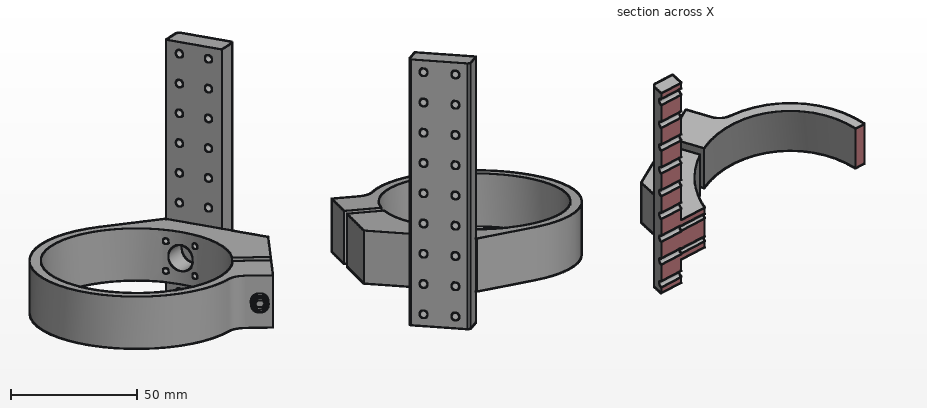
import cadquery as cq
import math

bore_radius = 38.0
ring_radius = 42.5
ring_height = 22.0

plate_width = 25.0
plate_thickness = 10.0
plate_height = 110.0
plate_chamfer = 1.0
plate_front_y = 49.0

pad_left_x = -12.9

hole_rows = 9
hole_end_margin = 5.0
hole_column_spacing = 13.0
hole_row_pitch = (plate_height - 2 * hole_end_margin) / (hole_rows - 1)
plate_hole_diameter = 3.2

pad_hole_diameter = 2.4
pad_bore_diameter = 10.9
ring_center_z = hole_end_margin + 1.5 * hole_row_pitch
ring_bottom_z = ring_center_z - ring_height / 2

clamp_angle = math.radians(30)
clamp_face_out = 53.2
slit_width = 4.0
ear_end_along = -19.6
ear_fillet = 8.0

screw_out = clamp_face_out - 5.4
shank_diameter = 4.0
head_diameter = 7.0
head_height = 4.0
head_top_diameter = 6.0
head_taper_height = 1.0
socket_across_flats = 4.0
socket_depth = 3.0
thread_depth = 11.0


def clamp_point(out, along):
    """Convert clamp coordinates to X, Y."""
    x = out * math.cos(clamp_angle) - along * math.sin(clamp_angle)
    y = out * math.sin(clamp_angle) + along * math.cos(clamp_angle)
    return x, y


def ring_point(angle):
    """Point on the outside of the ring."""
    return ring_radius * math.cos(angle), ring_radius * math.sin(angle)


def make_ring():
    pad_left = (pad_left_x, plate_front_y)
    corner_angle = math.atan2(pad_left[1], pad_left[0])
    flank_angle = corner_angle + math.acos(ring_radius / math.hypot(*pad_left))

    pad_right_x = (clamp_face_out - plate_front_y * math.sin(clamp_angle)) / math.cos(clamp_angle)

    fillet_along = ear_end_along - ear_fillet
    fillet_out = math.sqrt((ring_radius + ear_fillet) ** 2 - fillet_along ** 2)
    fillet_angle = clamp_angle + math.atan2(fillet_along, fillet_out)
    fillet_mid_angle = (clamp_angle + math.pi / 2 + fillet_angle + math.pi) / 2
    center_x, center_y = clamp_point(fillet_out, fillet_along)
    fillet_mid = (
        center_x + ear_fillet * math.cos(fillet_mid_angle),
        center_y + ear_fillet * math.sin(fillet_mid_angle),
    )
    ring_mid_angle = (flank_angle + fillet_angle + 2 * math.pi) / 2

    body = (
        cq.Workplane("XY", origin=(0, 0, ring_bottom_z))
        .moveTo(*pad_left)
        .lineTo(pad_right_x, plate_front_y)
        .lineTo(*clamp_point(clamp_face_out, ear_end_along))
        .lineTo(*clamp_point(fillet_out, ear_end_along))
        .threePointArc(fillet_mid, ring_point(fillet_angle))
        .threePointArc(ring_point(ring_mid_angle), ring_point(flank_angle))
        .close()
        .extrude(ring_height)
    )
    bore = cq.Workplane("XY", origin=(0, 0, ring_bottom_z)).circle(bore_radius).extrude(ring_height)
    slit = (
        cq.Workplane("XY", origin=(0, 0, ring_bottom_z))
        .rect(2 * clamp_face_out, slit_width)
        .extrude(ring_height)
        .translate((clamp_face_out, 0, 0))
        .rotate((0, 0, 0), (0, 0, 1), math.degrees(clamp_angle))
    )
    return body.cut(bore).cut(slit)


def drill_pad(ring):
    pad = cq.Workplane("XZ", origin=(0, plate_front_y, ring_center_z))
    small_holes = (
        pad.rarray(hole_column_spacing, hole_row_pitch, 2, 2)
        .circle(pad_hole_diameter / 2)
        .extrude(plate_front_y)
    )
    center_bore = pad.circle(pad_bore_diameter / 2).extrude(plate_front_y)
    return ring.cut(small_holes).cut(center_bore)


def make_plate():
    plate = (
        cq.Workplane("XY")
        .box(plate_width, plate_thickness, plate_height, centered=(True, False, False))
        .translate((0, plate_front_y, 0))
        .faces(">Y")
        .edges("|Z")
        .chamfer(plate_chamfer)
    )
    holes = (
        cq.Workplane("XZ", origin=(0, plate_front_y, plate_height / 2))
        .rarray(hole_column_spacing, hole_row_pitch, 2, hole_rows)
        .circle(plate_hole_diameter / 2)
        .extrude(-plate_thickness)
    )
    return plate.cut(holes)


def make_screw():
    seat_x, seat_y = clamp_point(screw_out, ear_end_along)
    seat = cq.Workplane(
        cq.Plane(
            origin=(seat_x, seat_y, ring_center_z),
            xDir=(math.cos(clamp_angle), math.sin(clamp_angle), 0),
            normal=(math.sin(clamp_angle), -math.cos(clamp_angle), 0),
        )
    )
    head_cylinder = seat.circle(head_diameter / 2).extrude(head_height - head_taper_height)
    head_taper = (
        seat.workplane(offset=head_height - head_taper_height)
        .circle(head_diameter / 2)
        .workplane(offset=head_taper_height)
        .circle(head_top_diameter / 2)
        .loft(ruled=True)
    )
    head = head_cylinder.union(head_taper)
    socket = (
        seat.workplane(offset=head_height - socket_depth)
        .polygon(6, socket_across_flats / math.cos(math.pi / 6))
        .extrude(socket_depth)
    )
    shank_length = slit_width / 2 - ear_end_along + thread_depth
    shank = seat.circle(shank_diameter / 2).extrude(-shank_length)
    return head.cut(socket).union(shank)


result = drill_pad(make_ring()).union(make_plate()).union(make_screw())